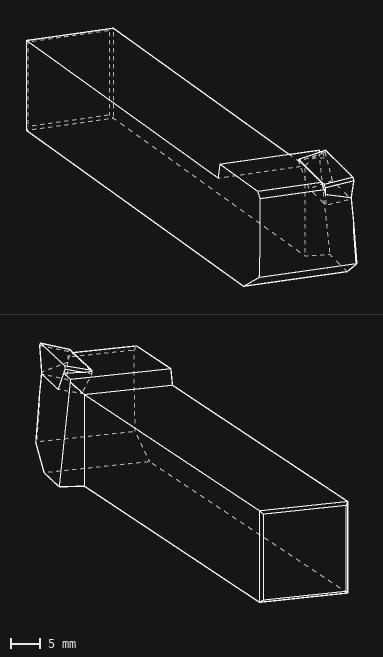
import cadquery as cq
import math

shank_size = 16.0
shank_end_x = 80.0
back_chamfer = 0.5
head_height = 18.7
head_width = 20.1
head_end_x = 97.4
shoulder_slope = math.tan(math.radians(15))

top_chamfer = 1.0
nose_lean = 0.4
nose_lean_top_z = 10.0
nose_low_z = 3.6
underside_end_x = 90.5
nose_corner_x = 0.8
nose_corner_y = 1.3

flank_yaw = 6.0
flank_draft = 5.8
cutter_size = 60.0

overall_height = 20.0
insert_top_length = 15.0
insert_back_x = 84.7
insert_width = 4.9
insert_depth = 4.7
insert_roll = 13.5
front_skew = 13.0
lip_depth = 0.5
lip_overhang = 0.4
end_relief = 33.0
side_allowance = 2.0

yaw_tangent = math.tan(math.radians(flank_yaw))
head_start_x = shank_end_x + (head_width - shank_size) * shoulder_slope
along_flank = cq.Vector(1, -yaw_tangent, 0).normalized()


def flank_y(x, z):
    """Y of the flank plane at a given X and height."""
    draft_shift = z * math.tan(math.radians(flank_draft)) / math.cos(math.radians(flank_yaw))
    return head_width - (x - head_start_x) * yaw_tangent - draft_shift


def make_flank_cutter():
    """Block filling the space outside the flank plane."""
    draft_rise = cutter_size * math.tan(math.radians(flank_draft))
    section = cq.Plane(origin=(head_start_x, head_width, 0), xDir=(-along_flank.y, along_flank.x, 0),
                       normal=along_flank.toTuple())
    outline = [
        (draft_rise, -cutter_size),
        (cutter_size, -cutter_size),
        (cutter_size, cutter_size),
        (-draft_rise, cutter_size),
    ]
    return cq.Workplane(section).polyline(outline).close().extrude(cutter_size, both=True)


def make_holder_blank():
    """Side outline and plan outline crossed, with the flank cut away."""
    side_outline = [
        (0, 0),
        (underside_end_x, 0),
        (head_end_x - nose_lean, nose_low_z),
        (head_end_x, nose_lean_top_z),
        (head_end_x, head_height - top_chamfer),
        (head_end_x - top_chamfer, head_height),
        (shank_end_x + (head_height - shank_size) * shoulder_slope, head_height),
        (shank_end_x, shank_size),
        (0, shank_size),
    ]
    corner_x = head_end_x - nose_corner_x
    corner_y = flank_y(corner_x, 0)
    plan_outline = [
        (0, 0),
        (head_end_x, 0),
        (head_end_x, corner_y - nose_corner_y),
        (corner_x, corner_y),
        (head_start_x, head_width),
        (shank_end_x, shank_size),
        (0, shank_size),
    ]
    side = cq.Workplane("XZ").polyline(side_outline).close().extrude(-head_width)
    plan = cq.Workplane("XY").polyline(plan_outline).close().extrude(head_height)
    blank = side.intersect(plan).cut(make_flank_cutter())
    return blank.faces("<X").chamfer(back_chamfer)


def make_insert():
    """Bar whose ends flare to a lip just below the top, then taper inward."""
    edge_y = flank_y(insert_back_x, overall_height)
    roll = math.radians(insert_roll)
    yaw = math.radians(flank_yaw)
    top_normal = (-math.sin(yaw) * math.sin(roll), -math.cos(yaw) * math.sin(roll), math.cos(roll))
    top_plane = cq.Plane(origin=(insert_back_x, edge_y, overall_height),
                         xDir=along_flank.toTuple(), normal=top_normal)
    skew = math.tan(math.radians(front_skew))
    taper = (insert_depth - lip_depth) * math.tan(math.radians(end_relief))

    def level(work, overhang):
        front_x = insert_top_length + overhang
        return work.polyline([
            (-overhang, side_allowance),
            (-overhang, -insert_width),
            (front_x - insert_width * skew, -insert_width),
            (front_x + side_allowance * skew, side_allowance),
        ]).close()

    lip = level(cq.Workplane(top_plane), 0).workplane(offset=-lip_depth)
    lip = level(lip, lip_overhang).loft(ruled=True)
    base = level(cq.Workplane(top_plane).workplane(offset=-lip_depth), lip_overhang)
    base = base.workplane(offset=lip_depth - insert_depth)
    base = level(base, lip_overhang - taper).loft(ruled=True)
    return lip.union(base).cut(make_flank_cutter())


insert = make_insert()
holder = make_holder_blank().cut(insert)

result = cq.Compound.makeCompound([holder.val(), insert.val()])